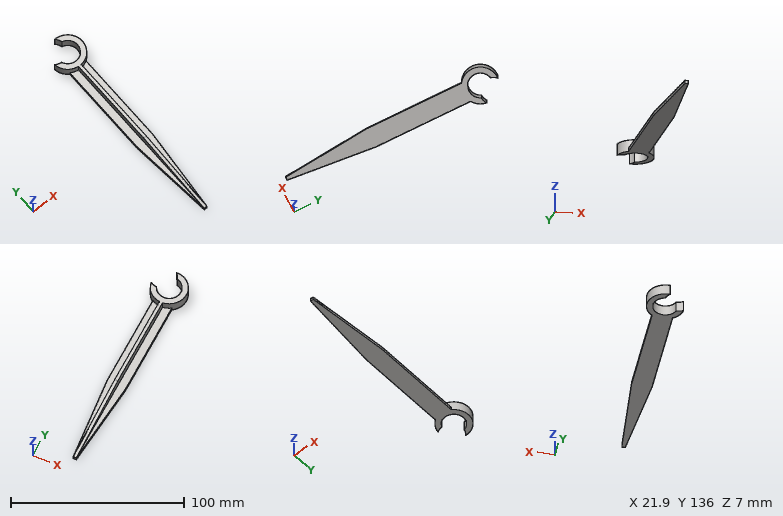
import cadquery as cq
import math

total_length = 136.0
height = 7.0

ring_outer_radius = 11.0
ring_inner_radius = 7.3
mouth_angle = 140.0
mouth_radius = 8.0
mouth_offset = 8.2

plate_width = 12.1
plate_thickness = 2.0
rib_width = 2.0
rib_start_y = -8.4
plate_start_y = -math.sqrt(ring_outer_radius**2 - (plate_width / 2) ** 2)
taper_length = 55.0
tip_y = ring_outer_radius - total_length
taper_start_y = tip_y + taper_length


def make_clip_bore():
    """Ring bore joined to the round mouth through which the clip opens."""
    angle = math.radians(mouth_angle)
    mouth_centre = (mouth_offset * math.cos(angle), mouth_offset * math.sin(angle))
    bore = cq.Workplane("XY").circle(ring_inner_radius).extrude(height)
    mouth = cq.Workplane("XY").center(*mouth_centre).circle(mouth_radius).extrude(height)
    return bore.union(mouth)


def make_plate():
    """Flat blade whose width tapers to the rib width at the tip."""
    half_width = plate_width / 2
    half_tip = rib_width / 2
    outline = [
        (-half_width, plate_start_y),
        (-half_width, taper_start_y),
        (-half_tip, tip_y),
        (half_tip, tip_y),
        (half_width, taper_start_y),
        (half_width, plate_start_y),
    ]
    return cq.Workplane("XY").polyline(outline).close().extrude(plate_thickness)


def make_rib():
    """Upright rib that slopes down to the plate thickness at the tip."""
    profile = [
        (rib_start_y, 0),
        (rib_start_y, height),
        (taper_start_y, height),
        (tip_y, plate_thickness),
        (tip_y, 0),
    ]
    return cq.Workplane("YZ").polyline(profile).close().extrude(rib_width / 2, both=True)


ring = cq.Workplane("XY").circle(ring_outer_radius).extrude(height).cut(make_clip_bore())
result = ring.union(make_plate()).union(make_rib())